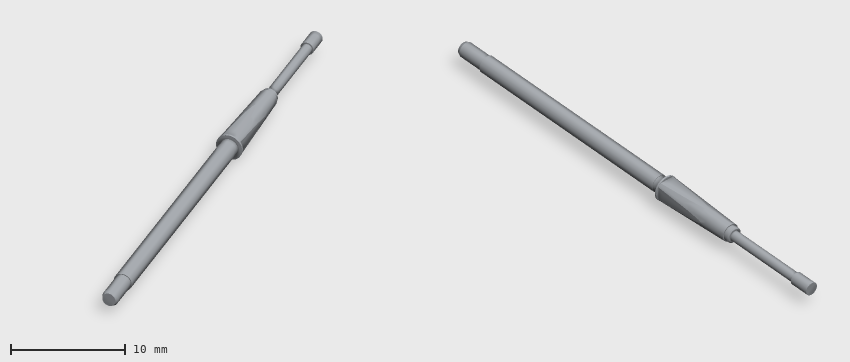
import cadquery as cq

TOTAL_LENGTH = 45.1
TAIL_LENGTH = 3.0
BODY_END = 25.4
FLANGE_START = 26.15
FLANGE_THICKNESS = 0.2
CONE_TIP = 34.6
COLLAR_TIP = 35.15
HEAD_LENGTH = 2.0

TAIL_DIAMETER = 1.55
BODY_DIAMETER = 1.7
NECK_SMALL_DIAMETER = 1.62
FLANGE_DIAMETER = 2.5
CONE_BASE_DIAMETER = 2.45
CONE_TIP_DIAMETER = 1.75
COLLAR_DIAMETER = 1.55
PLUNGER_DIAMETER = 1.0
HEAD_DIAMETER = 1.25

TAIL_CHAMFER_LENGTH = 0.3
TAIL_CHAMFER_DEPTH = 0.15
COLLAR_CHAMFER = 0.1

FLAT_WIDTH = 2.0

flange_end = FLANGE_START + FLANGE_THICKNESS
cone_length = CONE_TIP - flange_end
head_start = TOTAL_LENGTH - HEAD_LENGTH


def cylinder(start, end, diameter):
    """Cylinder on the Y axis between two stations."""
    return cq.Workplane("XZ", origin=(0, start, 0)).circle(diameter / 2).extrude(start - end)


def frustum(start, end, start_diameter, end_diameter):
    """Truncated cone on the Y axis between two stations."""
    return (
        cq.Workplane("XY")
        .moveTo(0, start)
        .lineTo(start_diameter / 2, start)
        .lineTo(end_diameter / 2, end)
        .lineTo(0, end)
        .close()
        .revolve(360, (0, 0, 0), (0, 1, 0))
    )


def tail():
    """Tail pin with a long, shallow chamfer at its outer end."""
    end_diameter = TAIL_DIAMETER - 2 * TAIL_CHAMFER_DEPTH
    chamfer = frustum(0, TAIL_CHAMFER_LENGTH, end_diameter, TAIL_DIAMETER)
    return chamfer.union(cylinder(TAIL_CHAMFER_LENGTH, TAIL_LENGTH, TAIL_DIAMETER))


def flattened_cone():
    """Cone narrowing towards the tip, trimmed by four flats."""
    cone = frustum(flange_end, CONE_TIP, CONE_BASE_DIAMETER, CONE_TIP_DIAMETER)
    square_bar = cq.Workplane("XY").box(FLAT_WIDTH, cone_length, FLAT_WIDTH)
    return cone.intersect(square_bar.translate((0, flange_end + cone_length / 2, 0)))


def collar():
    """Short collar ahead of the cone, chamfered at its tip."""
    return cylinder(CONE_TIP, COLLAR_TIP, COLLAR_DIAMETER).faces(">Y").chamfer(COLLAR_CHAMFER)


body = cylinder(TAIL_LENGTH, BODY_END, BODY_DIAMETER)
neck = frustum(BODY_END, FLANGE_START, NECK_SMALL_DIAMETER, BODY_DIAMETER)
flange = cylinder(FLANGE_START, flange_end, FLANGE_DIAMETER)
plunger = cylinder(COLLAR_TIP, head_start, PLUNGER_DIAMETER)
head = cylinder(head_start, TOTAL_LENGTH, HEAD_DIAMETER)

result = tail()
for piece in (body, neck, flange, flattened_cone(), collar(), plunger, head):
    result = result.union(piece)